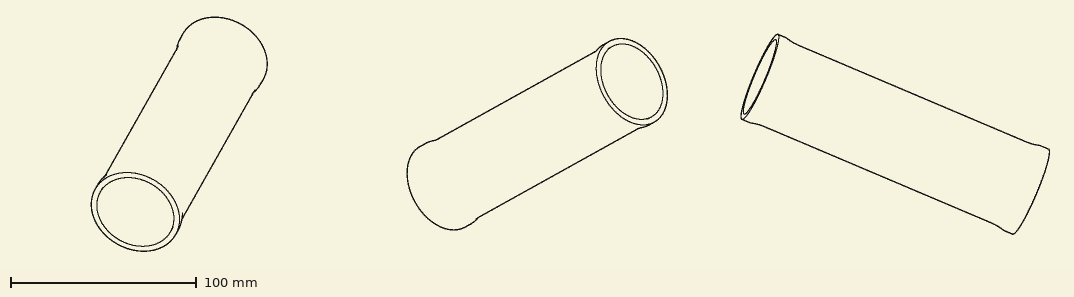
import cadquery as cq

length = 160.0
collar_diameter = 50.0
body_diameter = 47.7
collar_width = 5.0
flare_width = 7.7

mouth_diameter = 43.5
inner_diameter = 45.0
mouth_depth = 15.0
taper_length = 6.4

half_length = length / 2
collar_radius = collar_diameter / 2
body_radius = body_diameter / 2
mouth_radius = mouth_diameter / 2
inner_radius = inner_diameter / 2
collar_start = half_length - collar_width
flare_start = collar_start - flare_width
mouth_start = half_length - mouth_depth
taper_start = mouth_start - taper_length

flare_rise = collar_radius - body_radius
flare_radius = (flare_width**2 + flare_rise**2) / (2 * flare_rise)

wall_section = (
    cq.Workplane("YZ")
    .moveTo(-half_length, mouth_radius)
    .lineTo(-half_length, collar_radius)
    .lineTo(-collar_start, collar_radius)
    .radiusArc((-flare_start, body_radius), -flare_radius)
    .lineTo(flare_start, body_radius)
    .radiusArc((collar_start, collar_radius), -flare_radius)
    .lineTo(half_length, collar_radius)
    .lineTo(half_length, mouth_radius)
    .lineTo(mouth_start, mouth_radius)
    .lineTo(taper_start, inner_radius)
    .lineTo(-taper_start, inner_radius)
    .lineTo(-mouth_start, mouth_radius)
    .close()
)

result = wall_section.revolve(360, (0, 0, 0), (1, 0, 0))